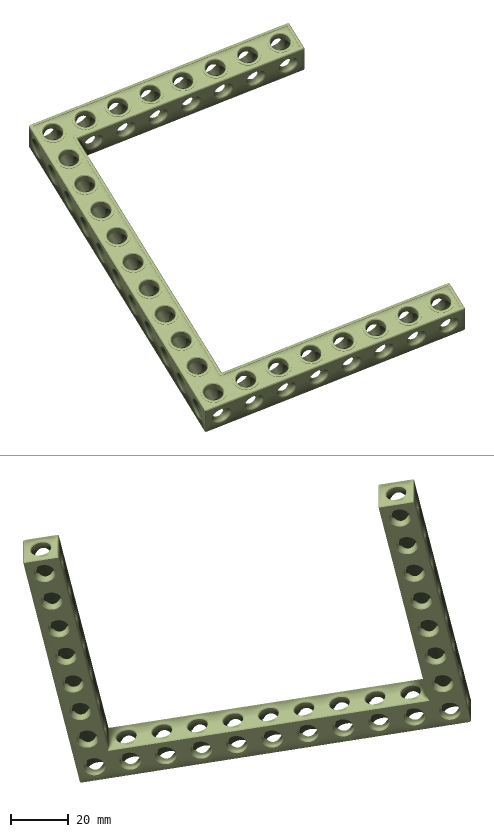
import cadquery as cq

length = 137.5
holes_along_base = 11
holes_along_arm = 8
pitch = length / holes_along_base
beam = pitch
depth = holes_along_arm * pitch
edge_chamfer = 0.3

bore_diameter = 7.0
bore_chamfer = 0.29

recess_depth = 0.2
rim_width = 1.1
ring_diameter = 9.2

base_centres = [(i + 0.5) * pitch for i in range(holes_along_base)]
arm_centres = [(j + 0.5) * pitch for j in range(holes_along_arm)]
mid = beam / 2


def u_shape(inset, height):
    """U-shaped prism open towards +Y, with its outline moved inwards by inset."""
    arm_width = beam - inset
    return (
        cq.Workplane("XY")
        .moveTo(inset, inset)
        .lineTo(length - inset, inset)
        .lineTo(length - inset, depth - inset)
        .lineTo(length - arm_width, depth - inset)
        .lineTo(length - arm_width, arm_width)
        .lineTo(arm_width, arm_width)
        .lineTo(arm_width, depth - inset)
        .lineTo(inset, depth - inset)
        .close()
        .extrude(height)
    )


def frame():
    """Solid U with every outer edge chamfered; the two inner corner edges stay sharp."""
    return u_shape(0, beam).faces("<X or >X or <Y or >Y or <Z or >Z").edges().chamfer(edge_chamfer)


def bore(start, direction, bore_length):
    """Cutting tool for a round bore that widens in a chamfer at both ends."""
    radius = bore_diameter / 2
    mouth = radius + bore_chamfer
    plane = cq.Plane(origin=start, normal=direction)
    shank = cq.Solid.makeCylinder(radius, bore_length, plane.origin, plane.zDir)
    far_end = plane.origin + plane.zDir * bore_length
    near_mouth = cq.Solid.makeCone(mouth, radius, bore_chamfer, plane.origin, plane.zDir)
    far_mouth = cq.Solid.makeCone(mouth, radius, bore_chamfer, far_end, -plane.zDir)
    return shank.fuse(near_mouth, far_mouth)


def vertical_centres():
    """Centres of the vertical bores: along the base, then up both arms."""
    centres = [(x, mid) for x in base_centres]
    for y in arm_centres[1:]:
        centres += [(mid, y), (length - mid, y)]
    return centres


def top_recess():
    """Recess between the rim and the rings, as a tool to cut from the upper face."""
    rings = (
        cq.Workplane("XY")
        .pushPoints(vertical_centres())
        .circle(ring_diameter / 2)
        .extrude(recess_depth)
    )
    return u_shape(rim_width, recess_depth).cut(rings).translate((0, 0, beam - recess_depth))


def all_bores():
    """Bores along Z, Y and X; those along a beam's own axis run its whole length."""
    x_axis = (1, 0, 0)
    y_axis = (0, 1, 0)
    z_axis = (0, 0, 1)
    tools = [bore((x, y, 0), z_axis, beam) for x, y in vertical_centres()]

    tools += [bore((x, 0, mid), y_axis, beam) for x in base_centres[1:-1]]
    for x in (base_centres[0], base_centres[-1]):
        tools.append(bore((x, 0, mid), y_axis, depth))

    tools.append(bore((0, arm_centres[0], mid), x_axis, length))
    for y in arm_centres[1:]:
        for arm_start in (0, length - beam):
            tools.append(bore((arm_start, y, mid), x_axis, beam))
    return tools


body = frame().cut(top_recess()).val()
result = cq.Workplane(body.cut(*all_bores()))